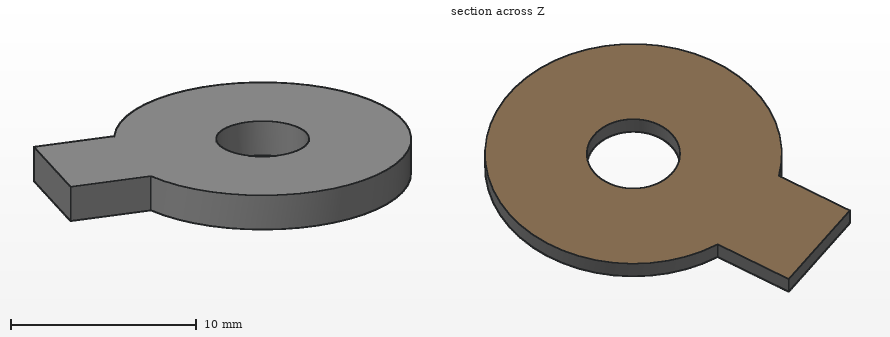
import cadquery as cq

disc_diameter = 16.0
hole_diameter = 5.0
tab_width = 6.0
overall_length = 20.0
thickness = 2.0

tab_reach = overall_length - disc_diameter / 2

disc = cq.Workplane("XY").circle(disc_diameter / 2).extrude(thickness)

tab = (
    cq.Workplane("XY")
    .center(0, -tab_reach / 2)
    .rect(tab_width, tab_reach)
    .extrude(thickness)
)

hole = cq.Workplane("XY").circle(hole_diameter / 2).extrude(thickness)

result = disc.union(tab).cut(hole)